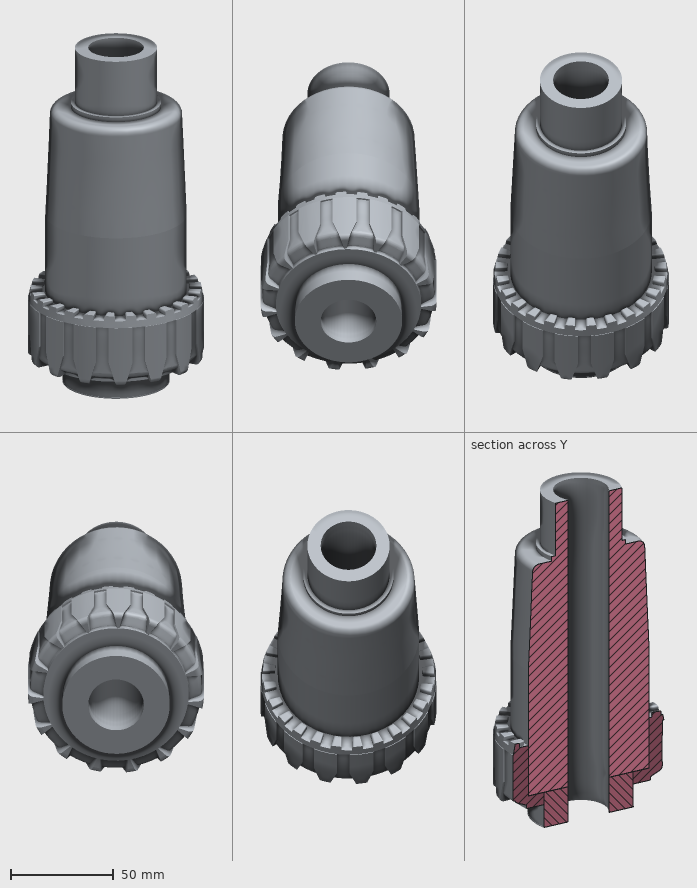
import cadquery as cq

bore_d = 27.0
body_d = 68.8
tail_d = 52.0
nut_bottom_z = 12.2
nut_seat_z = 18.8

tail_lip_d = 52.3
tail_lip_h = 0.5

total_height = 172.5
pipe_d = 40.0
collar_d = 44.0
collar_top_z = 144.4
shoulder_z = 142.0
shoulder_round = 3.8
body_top_d = 64.3
taper_start_z = 86.2

nut_r = 42.87
nut_rim_z = 42.8
collar_r = 42.6
crown_z = 46.0
nut_foot_r = 35.4
rib_foot_z = 12.6
rib_foot_round = 2.6

groove_count = 15
groove_angle = 15.0
groove_floor_r = 41.7
groove_w = 6.2
groove_foot_w = 13.8
groove_flare_z = 24.8
scoop_top_r = 40.0
scoop_top_z = 16.2
scoop_foot_z = 14.5
scoop_foot_round = 0.7

tooth_count = 25
tooth_angle = 0.4
tooth_gap = 5.2
tooth_inner_r = 35.9
tooth_tip_r = 41.5
tooth_tip_z = 48.5
tooth_lead_round = 1.0
tooth_trail_round = 0.5

arc_inset = 1 - 0.5 ** 0.5


def revolve_profile(profile):
    """Turn a closed (radius, height) profile about the Z axis."""
    return profile.close().revolve(360, (0, 0, 0), (0, 1, 0))


def make_housing():
    bore_r = bore_d / 2
    body_top_r = body_top_d / 2
    round_mid = shoulder_round * arc_inset
    profile = (
        cq.Workplane("XZ")
        .moveTo(bore_r, nut_seat_z)
        .lineTo(body_d / 2, nut_seat_z)
        .lineTo(body_d / 2, taper_start_z)
        .lineTo(body_top_r, shoulder_z - shoulder_round)
        .threePointArc(
            (body_top_r - round_mid, shoulder_z - round_mid),
            (body_top_r - shoulder_round, shoulder_z),
        )
        .lineTo(collar_d / 2, shoulder_z)
        .lineTo(collar_d / 2, collar_top_z)
        .lineTo(pipe_d / 2, collar_top_z)
        .lineTo(pipe_d / 2, total_height)
        .lineTo(bore_r, total_height)
    )
    return revolve_profile(profile)


def make_tail_pipe():
    pipe = cq.Workplane("XY").circle(tail_d / 2).extrude(nut_seat_z)
    lip = cq.Workplane("XY").circle(tail_lip_d / 2).extrude(tail_lip_h)
    bore = cq.Workplane("XY").circle(bore_d / 2).extrude(nut_seat_z)
    return pipe.union(lip).cut(bore)


def make_nut_blank():
    """Solid turned nut, with a plain ring in place of the teeth, before grooves and bores."""
    round_mid = rib_foot_round * arc_inset
    profile = (
        cq.Workplane("XZ")
        .moveTo(0, nut_bottom_z)
        .lineTo(nut_foot_r, nut_bottom_z)
        .lineTo(nut_foot_r, rib_foot_z)
        .lineTo(nut_r - rib_foot_round, rib_foot_z)
        .threePointArc(
            (nut_r - round_mid, rib_foot_z + round_mid),
            (nut_r, rib_foot_z + rib_foot_round),
        )
        .lineTo(nut_r, nut_rim_z)
        .lineTo(collar_r, nut_rim_z)
        .lineTo(tooth_tip_r, tooth_tip_z)
        .lineTo(tooth_inner_r, tooth_tip_z)
        .lineTo(tooth_inner_r, crown_z)
        .lineTo(0, crown_z)
    )
    return revolve_profile(profile)


def make_groove_core():
    """Turned shape that remains at the bottom of the grooves."""
    scoop_foot_r = nut_foot_r + scoop_foot_round
    round_mid = scoop_foot_round * arc_inset
    profile = (
        cq.Workplane("XZ")
        .moveTo(0, nut_bottom_z)
        .lineTo(nut_foot_r, nut_bottom_z)
        .lineTo(nut_foot_r, scoop_foot_z - scoop_foot_round)
        .threePointArc((nut_foot_r + round_mid, scoop_foot_z - round_mid), (scoop_foot_r, scoop_foot_z))
        .lineTo(scoop_top_r, scoop_top_z)
        .tangentArcPoint((groove_floor_r, nut_seat_z), relative=False)
        .lineTo(groove_floor_r, nut_rim_z)
        .lineTo(0, nut_rim_z)
    )
    return revolve_profile(profile)


def make_groove_cutter():
    """Radial prism along +X with the outline of one groove, less the core that stays."""
    half_w = groove_w / 2
    half_foot = groove_foot_w / 2
    prism = (
        cq.Workplane("YZ")
        .moveTo(-half_w, nut_rim_z)
        .lineTo(-half_w, groove_flare_z)
        .lineTo(-half_foot, nut_bottom_z)
        .lineTo(half_foot, nut_bottom_z)
        .lineTo(half_w, groove_flare_z)
        .lineTo(half_w, nut_rim_z)
        .close()
        .extrude(2 * nut_r)
    )
    return prism.cut(make_groove_core())


def make_gap_cutter():
    """Radial prism along +X for one gap, flaring at the top to round the teeth beside it."""
    half_gap = tooth_gap / 2
    lead_mid = tooth_lead_round * arc_inset
    trail_mid = tooth_trail_round * arc_inset
    return (
        cq.Workplane("YZ", origin=(body_d / 2, 0, 0))
        .moveTo(-half_gap, crown_z)
        .lineTo(-half_gap, tooth_tip_z - tooth_trail_round)
        .threePointArc(
            (-half_gap - trail_mid, tooth_tip_z - trail_mid),
            (-half_gap - tooth_trail_round, tooth_tip_z),
        )
        .lineTo(half_gap + tooth_lead_round, tooth_tip_z)
        .threePointArc(
            (half_gap + lead_mid, tooth_tip_z - lead_mid),
            (half_gap, tooth_tip_z - tooth_lead_round),
        )
        .lineTo(half_gap, crown_z)
        .close()
        .extrude(nut_r)
    )


def turned_copies(shape, count, first_angle):
    """Copies of a shape spaced evenly about the Z axis."""
    step = 360 / count
    return [
        shape.rotate((0, 0, 0), (0, 0, 1), first_angle + i * step).val()
        for i in range(count)
    ]


def make_nut():
    grooves = turned_copies(make_groove_cutter(), groove_count, groove_angle)
    gap_angle = tooth_angle + 180 / tooth_count
    gaps = turned_copies(make_gap_cutter(), tooth_count, gap_angle)
    nut = cq.Workplane(make_nut_blank().val().cut(*grooves, *gaps))
    tail_hole = cq.Workplane("XY").circle(tail_d / 2).extrude(nut_seat_z)
    body_socket = cq.Workplane("XY", origin=(0, 0, nut_seat_z)).circle(body_d / 2).extrude(tooth_tip_z)
    return nut.cut(tail_hole).cut(body_socket).solids()


housing = make_housing()
tail_pipe = make_tail_pipe()
nut = make_nut()

result = cq.Compound.makeCompound([housing.val(), tail_pipe.val(), nut.val()])